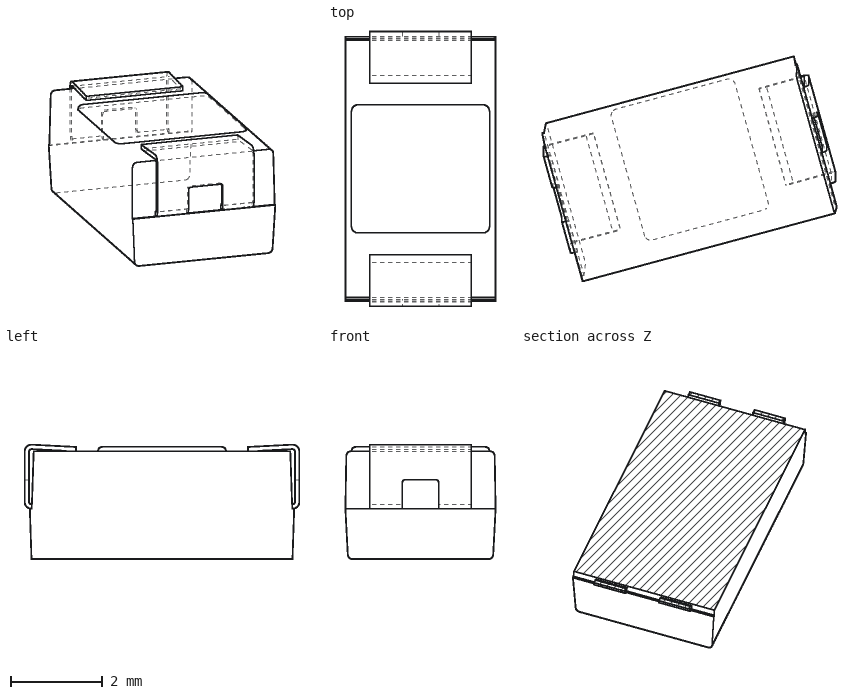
import cadquery as cq
import math

overall_length = 6.0
overall_height = 2.5

body_width = 3.28
parting_z = 1.1
body_top_z = 2.36
long_edge_radius = 0.11
lower_parting_length = 5.77
lower_bottom_length = 5.7
lower_bottom_width = 3.17
upper_parting_length = 5.69
upper_top_length = 5.605
upper_top_width = 3.24

pad_width = 3.01
pad_length = 2.795
pad_height = 0.095
pad_corner_radius = 0.145
pad_edge_radius = pad_height
pad_embed = 0.01

lead_width = 2.22
lead_thickness = 0.1
bend_radius = 0.155
foot_length = 1.13
foot_angle = math.radians(3.0)
tuck_depth = 0.24

notch_width = 0.79
notch_top_z = 1.735
notch_corner_radius = 0.06


def drafted_block(bottom_z, bottom_size, top_z, top_size):
    """Rectangular block tapering evenly between two (width, length) sizes."""
    return (
        cq.Workplane("XY", origin=(0, 0, bottom_z))
        .rect(*bottom_size)
        .workplane(offset=top_z - bottom_z)
        .rect(*top_size)
        .loft(ruled=True)
    )


def make_body():
    lower = drafted_block(
        0, (lower_bottom_width, lower_bottom_length),
        parting_z, (body_width, lower_parting_length),
    )
    upper = drafted_block(
        parting_z, (body_width, upper_parting_length),
        body_top_z, (upper_top_width, upper_top_length),
    )
    lower = lower.faces("<Z").edges("|Y").fillet(long_edge_radius)
    upper = upper.faces(">Z").edges("|Y").fillet(long_edge_radius)
    return lower.union(upper)


def make_pad():
    return (
        cq.Workplane("XY", origin=(0, 0, body_top_z - pad_embed))
        .rect(pad_width, pad_length)
        .extrude(pad_height + pad_embed)
        .edges("|Z").fillet(pad_corner_radius)
        .faces(">Z").edges().fillet(pad_edge_radius)
    )


def make_lead():
    """Lead at the +Y end: inward tuck, upright strip and sloping foot."""
    outer_y = overall_length / 2
    inner_y = outer_y - lead_thickness
    foot_end_y = outer_y - foot_length
    tuck_end_y = upper_parting_length / 2 - tuck_depth
    tuck_top_z = parting_z + lead_thickness

    slope = math.tan(foot_angle)
    bend_centre_z = overall_height - bend_radius
    outer_corner_z = bend_centre_z + bend_radius * (1 / math.cos(foot_angle) + slope)
    foot_drop = lead_thickness / math.cos(foot_angle)
    foot_end_z = outer_corner_z - foot_length * slope
    inner_corner_z = outer_corner_z - lead_thickness * slope - foot_drop

    lead = (
        cq.Workplane("YZ", origin=(-lead_width / 2, 0, 0))
        .moveTo(tuck_end_y, parting_z)
        .lineTo(outer_y, parting_z)
        .lineTo(outer_y, outer_corner_z)
        .lineTo(foot_end_y, foot_end_z)
        .lineTo(foot_end_y, foot_end_z - foot_drop)
        .lineTo(inner_y, inner_corner_z)
        .lineTo(inner_y, tuck_top_z)
        .lineTo(tuck_end_y, tuck_top_z)
        .close()
        .extrude(lead_width)
    )
    lead = lead.faces(">Y").edges("|X").fillet(bend_radius)
    for corner_z in (tuck_top_z, inner_corner_z):
        inner_corner = cq.selectors.NearestToPointSelector((0, inner_y, corner_z))
        lead = lead.edges("|X").edges(inner_corner).fillet(bend_radius - lead_thickness)

    notch_height = notch_top_z - parting_z
    notch_depth = outer_y - tuck_end_y
    notch = (
        cq.Workplane("XY")
        .box(notch_width, notch_depth, notch_height, centered=(True, False, False))
        .faces(">Z").edges("|Y").fillet(notch_corner_radius)
        .translate((0, tuck_end_y, parting_z))
    )
    return lead.cut(notch)


lead = make_lead()
result = make_body().union(make_pad()).union(lead).union(lead.mirror("XZ"))